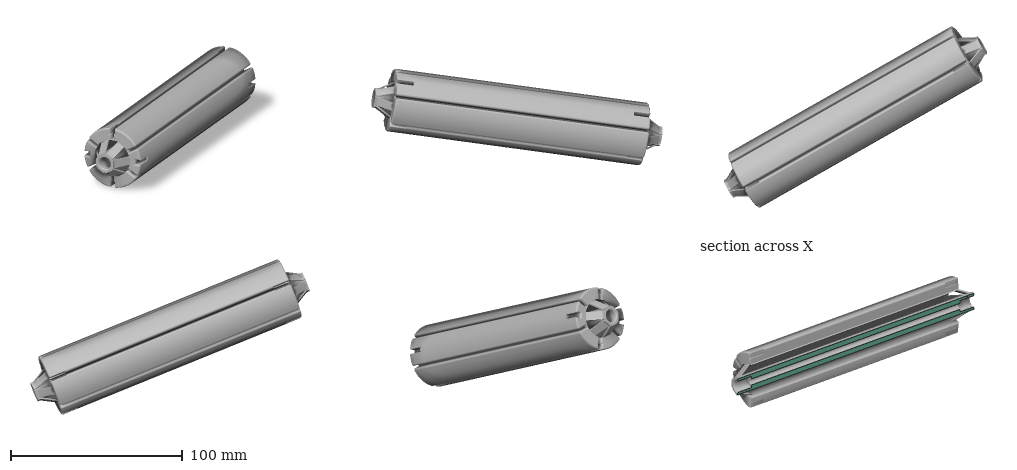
import cadquery as cq
import math

TOTAL_LENGTH = 171.0
HUB_PROTRUSION = 10.0
SHELL_LENGTH = TOTAL_LENGTH - 2 * HUB_PROTRUSION

SHELL_DIAMETER = 36.8
SHELL_RADIUS = SHELL_DIAMETER / 2
BORE_APOTHEM = 11.1
BORE_SIDES = 12
SEGMENT_COUNT = 6
SEGMENT_ANGLE = 360 / SEGMENT_COUNT
EDGE_FILLET = 1.0

SLOT_WIDTH = 1.5
WEB_THICKNESS = 0.25

POCKET_COUNT = 4
POCKET_ANGLE = 360 / POCKET_COUNT
POCKET_WIDTH = 2.7
POCKET_FLOOR_RADIUS = 14.9
POCKET_LENGTH = 10.0

HUB_RADIUS = 5.5
HOLE_RADIUS = 1.9
COUNTERBORE_RADIUS = 3.6
COUNTERBORE_DEPTH = 10.0
COUNTERBORE_CHAMFER = 0.7

SPOKE_WIDTH = 5.0
SPOKE_THICKNESS = 1.0
SPOKE_SLANT = 30.0
SPOKE_PAD_LENGTH = 1.7

CLEARANCE = 1.7


def disc(radius, length):
    """Cylinder on the Y axis, centred on the origin."""
    return cq.Workplane("XZ").circle(radius).extrude(length / 2, both=True)


def turn(body, angle):
    """Rotate a body about the Y axis."""
    return body.rotate((0, 0, 0), (0, 1, 0), angle)


def distance_from_axis(edge):
    """Distance from the Y axis to the middle of an edge."""
    centre = edge.Center()
    return math.hypot(centre.x, centre.z)


def make_slot():
    """Full-length slot cutter along +X."""
    floor = BORE_APOTHEM + WEB_THICKNESS
    depth = SHELL_RADIUS + CLEARANCE - floor
    slot = cq.Workplane("XY").box(depth, SHELL_LENGTH, SLOT_WIDTH)
    return slot.translate((floor + depth / 2, 0, 0))


def make_pocket():
    """Key pocket cutter along +X at the -Y end, with its end edges rounded outwards."""
    outer = SHELL_RADIUS + CLEARANCE
    depth = outer - POCKET_FLOOR_RADIUS
    pocket = cq.Workplane("XY").box(depth, POCKET_LENGTH, POCKET_WIDTH)
    pocket = pocket.translate((outer - depth / 2, POCKET_LENGTH / 2, 0))

    margin = EDGE_FILLET + CLEARANCE
    plate_depth = depth + margin
    plate = cq.Workplane("XY").box(plate_depth, CLEARANCE, POCKET_WIDTH + 2 * margin)
    plate = plate.translate((outer - plate_depth / 2, -CLEARANCE / 2, 0))

    slack = EDGE_FILLET / 2
    half_width = POCKET_WIDTH / 2 + slack
    corner_area = cq.selectors.BoxSelector(
        (POCKET_FLOOR_RADIUS - slack, -slack, -half_width),
        (outer, slack, half_width),
    )
    cutter = pocket.union(plate).edges(corner_area).fillet(EDGE_FILLET)
    return cutter.translate((0, -SHELL_LENGTH / 2, 0))


def make_shell():
    shell = disc(SHELL_RADIUS, SHELL_LENGTH)
    slot = make_slot()
    for i in range(SEGMENT_COUNT):
        shell = shell.cut(turn(slot, (i + 0.5) * SEGMENT_ANGLE))

    end_edges = shell.faces("<Y or >Y").edges()
    mouth_edges = shell.edges("|Y").filter(lambda edge: distance_from_axis(edge) > POCKET_FLOOR_RADIUS)
    shell = end_edges.add(mouth_edges).fillet(EDGE_FILLET)

    pocket = make_pocket()
    for i in range(POCKET_COUNT):
        turned_pocket = turn(pocket, i * POCKET_ANGLE)
        shell = shell.cut(turned_pocket).cut(turned_pocket.mirror("XZ"))

    bore_diameter = 2 * BORE_APOTHEM / math.cos(math.pi / BORE_SIDES)
    bore = cq.Workplane("XZ").polygon(BORE_SIDES, bore_diameter).extrude(TOTAL_LENGTH / 2, both=True)
    return shell.cut(turn(bore, 180 / BORE_SIDES))


def make_spoke():
    """Bar in the +X direction at the +Y end: a flat pad on the hub, then a slant into the segment."""
    end_y = TOTAL_LENGTH / 2
    bend_y = end_y - SPOKE_PAD_LENGTH
    rise = BORE_APOTHEM + SPOKE_THICKNESS - HUB_RADIUS
    foot_y = bend_y - rise / math.tan(math.radians(SPOKE_SLANT))
    outline = [
        (HUB_RADIUS, end_y),
        (HUB_RADIUS, bend_y),
        (HUB_RADIUS + rise, foot_y),
        (HUB_RADIUS + rise - SPOKE_THICKNESS, foot_y),
        (HUB_RADIUS - SPOKE_THICKNESS, bend_y),
        (HUB_RADIUS - SPOKE_THICKNESS, end_y),
    ]
    return cq.Workplane("XY").polyline(outline).close().extrude(SPOKE_WIDTH / 2, both=True)


def make_counterbore():
    """Cutter for the +Y end of the hub, with a chamfered mouth."""
    end_y = TOTAL_LENGTH / 2
    outline = [
        (0, end_y),
        (COUNTERBORE_RADIUS + COUNTERBORE_CHAMFER, end_y),
        (COUNTERBORE_RADIUS, end_y - COUNTERBORE_CHAMFER),
        (COUNTERBORE_RADIUS, end_y - COUNTERBORE_DEPTH),
        (0, end_y - COUNTERBORE_DEPTH),
    ]
    return cq.Workplane("XY").polyline(outline).close().revolve(360, (0, 0, 0), (0, 1, 0))


def make_body():
    body = make_shell().union(disc(HUB_RADIUS, TOTAL_LENGTH))

    spoke = make_spoke()
    for i in range(SEGMENT_COUNT):
        turned_spoke = turn(spoke, i * SEGMENT_ANGLE)
        body = body.union(turned_spoke).union(turned_spoke.mirror("XZ"))

    counterbore = make_counterbore()
    body = body.cut(disc(HOLE_RADIUS, TOTAL_LENGTH))
    return body.cut(counterbore).cut(counterbore.mirror("XZ"))


result = make_body().solids()